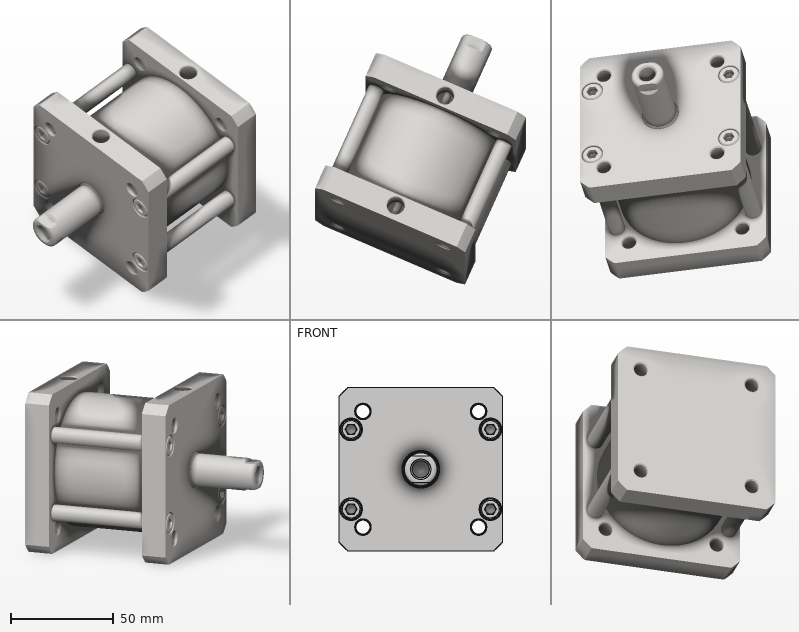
import cadquery as cq
import math


drill_tip_angle = 118.0

plate_side = 80.0
plate_thickness = 12.5
plate_corner_diameter = 107.0
mount_hole_offset = 28.2
mount_hole_diameter = 6.8
mount_hole_mouth_diameter = 8.0

port_diameter = 8.6
port_mouth_diameter = 9.4
port_depth = 11.2
port_to_inner_face = 5.6
port_bar_diameter = 4.0
port_bar_drop = 0.9

tube_outer_diameter = 65.9
tube_bore_diameter = 63.0
tube_length = 48.9
tube_end_chamfer = 0.2

rod_diameter = 16.0
rod_projection = 33.1
rod_end_fillet = 1.9
rod_flat_width = 13.1
rod_flat_length = 5.4
rod_hole_diameter = 8.3
rod_hole_mouth_diameter = 10.0
rod_hole_depth = 20.0
lip_diameter = 17.7
lip_tip_diameter = 16.6
lip_height = 0.3
lip_recess_diameter = 18.0
lip_recess_mouth_diameter = 18.4
lip_recess_depth = 1.0

tie_x = 34.0
tie_z = 19.5
tie_diameter = 8.0
tie_end_chamfer = 0.5
tie_shank_diameter = 6.6
tie_shank_depth_in_back = 8.6
head_diameter = 10.0
head_chamfer = 0.6
head_height = 6.0
head_recess_diameter = 10.5
head_recess_mouth_diameter = 11.0
hex_across_flats = 5.0
hex_across_corners = hex_across_flats / math.cos(math.radians(30))
hex_depth = 3.0
hex_tip_diameter = 4.9

front_outer = 0.0
front_inner = front_outer + plate_thickness
back_inner = front_inner + tube_length
shank_end = back_inner + tie_shank_depth_in_back
rod_end = front_outer - rod_projection

mount_points = [(x, z) for x in (-mount_hole_offset, mount_hole_offset)
                for z in (-mount_hole_offset, mount_hole_offset)]
tie_points = [(x, z) for x in (-tie_x, tie_x) for z in (-tie_z, tie_z)]

ALONG_Y = cq.Vector(0, 1, 0)
DOWN = cq.Vector(0, 0, -1)


def cylinder_y(diameter, y_start, y_end, x=0.0, z=0.0):
    """Round bar parallel to Y from y_start to y_end."""
    bar = cq.Solid.makeCylinder(diameter / 2, y_end - y_start, cq.Vector(x, y_start, z), ALONG_Y)
    return cq.Workplane(obj=bar)


def cone(start_diameter, end_diameter, length, start, direction):
    """Truncated or pointed cone that runs from start along direction."""
    return cq.Workplane(obj=cq.Solid.makeCone(start_diameter / 2, end_diameter / 2, length, start, direction))


def tip_length(diameter):
    """Length of the conical tip of a drilled hole."""
    return diameter / 2 / math.tan(math.radians(drill_tip_angle / 2))


def plate_blank(y_start):
    """Square plate whose corners are turned off by a large circle."""
    y_end = y_start + plate_thickness
    square = cq.Workplane("XY").box(plate_side, plate_thickness, plate_side)
    square = square.translate((0, y_start + plate_thickness / 2, 0))
    return square.intersect(cylinder_y(plate_corner_diameter, y_start, y_end))


def cut_mount_holes(plate, y_start):
    """Through holes in the corners, chamfered on both faces."""
    y_end = y_start + plate_thickness
    depth = (mount_hole_mouth_diameter - mount_hole_diameter) / 2
    for x, z in mount_points:
        plate = plate.cut(cylinder_y(mount_hole_diameter, y_start, y_end, x, z))
        for y_face, direction in ((y_start, ALONG_Y), (y_end, -ALONG_Y)):
            centre = cq.Vector(x, y_face, z)
            mouth = cone(mount_hole_mouth_diameter, mount_hole_diameter, depth, centre, direction)
            plate = plate.cut(mouth)
    return plate


def cut_port(plate, y_port):
    """Drilled port from the top edge, leaving a round bar along Y across its conical floor."""
    top = plate_side / 2
    wall_bottom = top - port_depth
    radius = port_diameter / 2
    mouth_depth = (port_mouth_diameter - port_diameter) / 2
    mouth_centre = cq.Vector(0, y_port, top)
    tip_centre = cq.Vector(0, y_port, wall_bottom)

    bore = cq.Workplane(obj=cq.Solid.makeCylinder(radius, port_depth, mouth_centre, DOWN))
    tip = cone(port_diameter, 0, tip_length(port_diameter), tip_centre, DOWN)
    mouth = cone(port_mouth_diameter, port_diameter, mouth_depth, mouth_centre, DOWN)
    bar = cylinder_y(port_bar_diameter, y_port - radius, y_port + radius, z=wall_bottom - port_bar_drop)
    return plate.cut(bore.union(tip).union(mouth).cut(bar))


def cut_head_recess(plate, x, z):
    """Counterbore for one tie rod head, chamfered at its mouth."""
    mouth_depth = (head_recess_mouth_diameter - head_recess_diameter) / 2
    mouth_centre = cq.Vector(x, front_outer, z)
    recess = cylinder_y(head_recess_diameter, front_outer, front_outer + head_height, x, z)
    mouth = cone(head_recess_mouth_diameter, head_recess_diameter, mouth_depth, mouth_centre, ALONG_Y)
    return plate.cut(recess).cut(mouth)


def add_rod_lip(plate):
    """Rod hole edged by a thin lip that stands in a chamfered ring recess."""
    recess_bottom = front_outer + lip_recess_depth
    lip_tip = front_outer - lip_height
    mouth_depth = (lip_recess_mouth_diameter - lip_recess_diameter) / 2
    mouth_centre = cq.Vector(0, front_outer, 0)
    recess = cylinder_y(lip_recess_diameter, front_outer, recess_bottom)
    mouth = cone(lip_recess_mouth_diameter, lip_recess_diameter, mouth_depth, mouth_centre, ALONG_Y)
    lip = cylinder_y(lip_diameter, lip_tip, recess_bottom)
    lip = lip.faces("<Y").edges().chamfer((lip_diameter - lip_tip_diameter) / 2)
    rod_hole = cylinder_y(rod_diameter, lip_tip, front_inner)
    return plate.cut(recess).cut(mouth).union(lip).cut(rod_hole)


def make_front_plate():
    plate = plate_blank(front_outer)
    plate = cut_mount_holes(plate, front_outer)
    plate = cut_port(plate, front_inner - port_to_inner_face)
    for x, z in tie_points:
        plate = plate.cut(cylinder_y(tie_shank_diameter, front_outer, front_inner, x, z))
        plate = cut_head_recess(plate, x, z)
    return add_rod_lip(plate)


def make_back_plate():
    plate = plate_blank(back_inner)
    plate = cut_mount_holes(plate, back_inner)
    plate = cut_port(plate, back_inner + port_to_inner_face)
    for x, z in tie_points:
        plate = plate.cut(cylinder_y(tie_shank_diameter, back_inner, shank_end, x, z))
    return plate


def make_tube():
    outside = cylinder_y(tube_outer_diameter, front_inner, back_inner)
    outside = outside.edges().chamfer(tube_end_chamfer)
    return outside.cut(cylinder_y(tube_bore_diameter, front_inner, back_inner))


def cut_rod_flats(rod):
    """Two wrench flats at the rod end, each closed by a 45 degree run-out."""
    half_width = rod_flat_width / 2
    flat_end = rod_end + rod_flat_length
    rise = rod_diameter / 2 - half_width
    for side in (-1, 1):
        cutter = (
            cq.Workplane("YZ")
            .moveTo(rod_end, side * half_width)
            .lineTo(flat_end, side * half_width)
            .lineTo(flat_end + rise, side * (half_width + rise))
            .lineTo(rod_end, side * (half_width + rise))
            .close()
            .extrude(rod_diameter / 2, both=True)
        )
        rod = rod.cut(cutter)
    return rod


def make_piston_rod():
    rod = cylinder_y(rod_diameter, rod_end, back_inner)
    rod = rod.faces("<Y").edges().fillet(rod_end_fillet)
    rod = cut_rod_flats(rod)
    mouth_depth = (rod_hole_mouth_diameter - rod_hole_diameter) / 2
    hole_bottom = rod_end + rod_hole_depth
    hole = cylinder_y(rod_hole_diameter, rod_end, hole_bottom)
    mouth = cone(rod_hole_mouth_diameter, rod_hole_diameter, mouth_depth, cq.Vector(0, rod_end, 0), ALONG_Y)
    tip_depth = tip_length(rod_hole_diameter)
    tip = cone(rod_hole_diameter, 0, tip_depth, cq.Vector(0, hole_bottom, 0), ALONG_Y)
    return rod.cut(hole).cut(mouth).cut(tip)


def make_tie_rod(x, z):
    """Bar between the plates, with a socket head in front and a plain shank at the back."""
    head_bottom = front_outer + head_height
    hex_bottom = front_outer + hex_depth
    shank = cylinder_y(tie_shank_diameter, head_bottom, shank_end, x, z)
    bar = cylinder_y(tie_diameter, front_inner, back_inner, x, z).edges().chamfer(tie_end_chamfer)
    head = cylinder_y(head_diameter, front_outer, head_bottom, x, z).faces("<Y").edges().chamfer(head_chamfer)
    socket = (
        cq.Workplane("XZ", origin=(x, front_outer, z))
        .polygon(6, hex_across_corners)
        .extrude(-hex_depth)
    )
    tip_depth = tip_length(hex_tip_diameter)
    tip = cone(hex_tip_diameter, 0, tip_depth, cq.Vector(x, hex_bottom, z), ALONG_Y)
    return shank.union(bar).union(head).cut(socket).cut(tip)


front_plate = make_front_plate()
back_plate = make_back_plate()
tube = make_tube()
piston_rod = make_piston_rod()
tie_rods = [make_tie_rod(x, z) for x, z in tie_points]

result = cq.Compound.makeCompound([
    front_plate.val(),
    back_plate.val(),
    tube.val(),
    piston_rod.val(),
    *[tie_rod.val() for tie_rod in tie_rods],
])